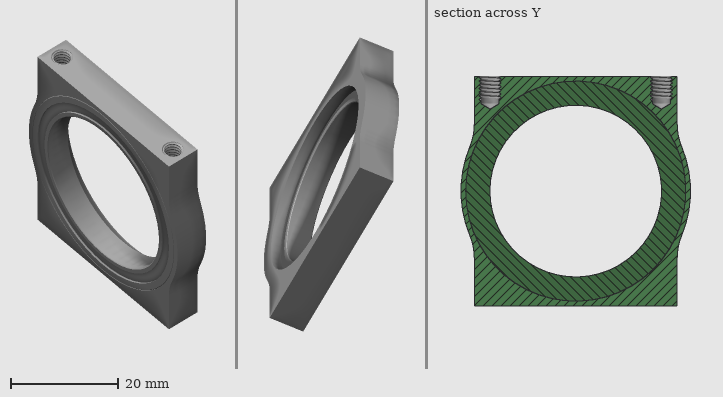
import cadquery as cq
import math

HEIGHT = 43.0
BLOCK_WIDTH = 38.0
THICKNESS = 7.0
FRONT_Y = -THICKNESS / 2
LIP_RADIUS = 18.5
BULGE_RADIUS = HEIGHT / 2
BLEND_RADIUS = 11.0

BEARING_RADIUS = 20.5
BORE_RADIUS = 16.0
BEARING_WIDTH = 5.0
BEARING_CHAMFER = 0.15
GROOVE_OUTER_RADIUS = 19.0
GROOVE_INNER_RADIUS = 16.95
GROOVE_DEPTH = 0.4

SCREW_X = 16.0
THREAD_DIAMETER = 4.0
DRILL_DIAMETER = 3.3
THREAD_PITCH = 0.7
THREAD_LENGTH = 4.4
DRILL_DEPTH = 5.15
DRILL_POINT_ANGLE = 118.0
COUNTERSINK_DIAMETER = 4.1
COUNTERSINK_BOTTOM_DIAMETER = 3.75
COUNTERSINK_DEPTH = 0.17
THREAD_CREST_FLAT = THREAD_PITCH / 8
THREAD_FLANK_ANGLE = 30.0
THREAD_RUNOUT = 0.5
THREAD_OVERCUT = 0.15


def y_cylinder(radius, length):
    """Cylinder along Y that starts at the front face and runs back by the given length."""
    return cq.Workplane("XZ", origin=(0, FRONT_Y, 0)).circle(radius).extrude(-length)


def make_blank():
    """Block with rounded flanks, solid throughout."""
    side = BLOCK_WIDTH / 2
    top = HEIGHT / 2
    blend_x = side + BLEND_RADIUS
    blend_z = math.sqrt((BULGE_RADIUS + BLEND_RADIUS) ** 2 - blend_x**2)
    meet_ratio = BULGE_RADIUS / (BULGE_RADIUS + BLEND_RADIUS)
    meet_x = blend_x * meet_ratio
    meet_z = blend_z * meet_ratio
    middle_angle = math.pi + math.atan2(blend_z, blend_x) / 2
    middle_x = blend_x + BLEND_RADIUS * math.cos(middle_angle)
    middle_z = blend_z + BLEND_RADIUS * math.sin(middle_angle)

    return (
        cq.Workplane("XZ", origin=(0, FRONT_Y, 0))
        .moveTo(-side, top)
        .lineTo(side, top)
        .lineTo(side, blend_z)
        .threePointArc((middle_x, middle_z), (meet_x, meet_z))
        .threePointArc((BULGE_RADIUS, 0), (meet_x, -meet_z))
        .threePointArc((middle_x, -middle_z), (side, -blend_z))
        .lineTo(side, -top)
        .lineTo(-side, -top)
        .lineTo(-side, -blend_z)
        .threePointArc((-middle_x, -middle_z), (-meet_x, -meet_z))
        .threePointArc((-BULGE_RADIUS, 0), (-meet_x, meet_z))
        .threePointArc((-middle_x, middle_z), (-side, blend_z))
        .close()
        .extrude(-THICKNESS)
    )


def make_drilling():
    """Drilling with a conical bottom, its mouth at Z = 0, extended upwards to hold the thread run-out."""
    drill_radius = DRILL_DIAMETER / 2
    stub_height = 2 * THREAD_RUNOUT
    point_length = drill_radius / math.tan(math.radians(DRILL_POINT_ANGLE / 2))
    return (
        cq.Workplane("XZ")
        .moveTo(0, stub_height)
        .lineTo(drill_radius, stub_height)
        .lineTo(drill_radius, -DRILL_DEPTH)
        .lineTo(0, -DRILL_DEPTH - point_length)
        .close()
        .revolve(360, (0, 0, 0), (0, 1, 0))
    )


def make_countersink():
    """Cone that opens up to Z = 0."""
    cone = cq.Solid.makeCone(COUNTERSINK_BOTTOM_DIAMETER / 2, COUNTERSINK_DIAMETER / 2, COUNTERSINK_DEPTH)
    return cq.Workplane(cone).translate((0, 0, -COUNTERSINK_DEPTH))


def make_thread_groove():
    """Right-handed helical groove with 60 degree flanks, running out through Z = 0."""
    start_radius = DRILL_DIAMETER / 2 - THREAD_OVERCUT
    end_radius = THREAD_DIAMETER / 2
    tip_half = THREAD_CREST_FLAT / 2
    base_half = tip_half + (end_radius - start_radius) * math.tan(math.radians(THREAD_FLANK_ANGLE))
    helix = cq.Wire.makeHelix(THREAD_PITCH, THREAD_LENGTH + THREAD_RUNOUT, start_radius)
    groove = (
        cq.Workplane("XZ")
        .moveTo(start_radius, -base_half)
        .lineTo(end_radius, -tip_half)
        .lineTo(end_radius, tip_half)
        .lineTo(start_radius, base_half)
        .close()
        .sweep(cq.Workplane(helix), isFrenet=True)
    )
    return groove.translate((0, 0, -THREAD_LENGTH))


def make_housing():
    """Block with a bearing seat, a lip behind it and two threaded holes in its top."""
    housing = make_blank().cut(y_cylinder(LIP_RADIUS, THICKNESS))
    housing = housing.cut(y_cylinder(BEARING_RADIUS, BEARING_WIDTH))
    threaded_hole = make_drilling().union(make_thread_groove())
    countersink = make_countersink()
    for x in (-SCREW_X, SCREW_X):
        mouth = (x, 0, HEIGHT / 2)
        housing = housing.cut(threaded_hole.translate(mouth))
        housing = housing.cut(countersink.translate(mouth))
    return housing


def make_bearing():
    """Ring with chamfered edges and a shallow groove in each end face."""
    ring = y_cylinder(BEARING_RADIUS, BEARING_WIDTH).cut(y_cylinder(BORE_RADIUS, BEARING_WIDTH))
    ring = ring.faces("<Y or >Y").edges().chamfer(BEARING_CHAMFER)
    groove = y_cylinder(GROOVE_OUTER_RADIUS, GROOVE_DEPTH)
    groove = groove.cut(y_cylinder(GROOVE_INNER_RADIUS, GROOVE_DEPTH))
    rear_groove = groove.translate((0, BEARING_WIDTH - GROOVE_DEPTH, 0))
    return ring.cut(groove).cut(rear_groove)


housing = make_housing()
bearing = make_bearing()
result = cq.Compound.makeCompound([housing.val(), bearing.val()])